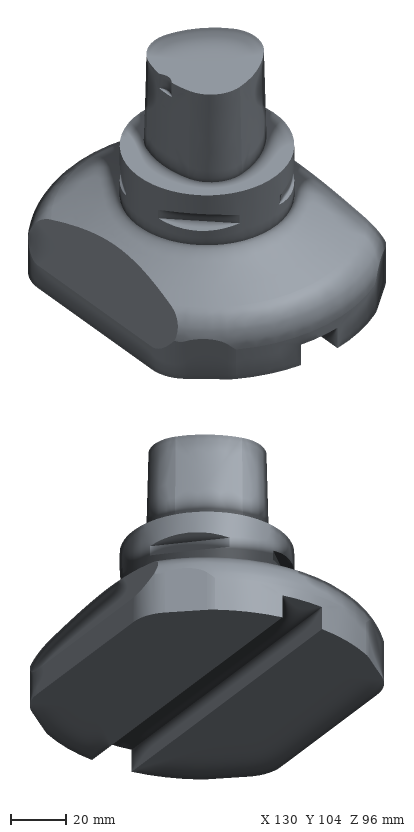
import cadquery as cq
import math

base_radius = 65.0
rim_height = 13.0
shoulder_radius = 14.0
half_width = 52.0
corner_flat_distance = 64.2
corner_flat_angle = 40.0
corner_radius = 16.0
bevel_start = 10.0
bevel_angle = 25.0
key_slot_width = 16.9
key_slot_height = 9.0

flange_radius = 31.5
flange_bottom = 36.0
flange_top = 58.0
groove_height = 46.0
groove_floor_distance = 27.85
groove_floor_width = 3.75
groove_mouth_width = 7.5

total_height = 96.0
lobe_reach = 23.4
side_reach = 20.35
lobe_center_distance = 8.6
shank_inset = 0.95
notch_radius = 5.0
notch_depth = 6.2
notch_reach = 17.9

clearance = 10.0


def polar(distance, degrees):
    angle = math.radians(degrees)
    return (distance * math.cos(angle), distance * math.sin(angle))


def turned_body():
    """Revolve the rim, rounded shoulder, cone and flange."""
    arc_center = base_radius - shoulder_radius

    foot_dr = flange_radius - arc_center
    foot_dz = flange_bottom - rim_height
    foot_direction = math.atan2(foot_dz, foot_dr)
    tangent_turn = math.acos(shoulder_radius / math.hypot(foot_dr, foot_dz))
    cone_normal = math.degrees(foot_direction - tangent_turn)

    def shoulder_point(degrees):
        dr, dz = polar(shoulder_radius, degrees)
        return (arc_center + dr, rim_height + dz)

    return (
        cq.Workplane("XZ")
        .lineTo(base_radius, 0)
        .lineTo(base_radius, rim_height)
        .threePointArc(shoulder_point(cone_normal / 2), shoulder_point(cone_normal))
        .lineTo(flange_radius, flange_bottom)
        .lineTo(flange_radius, flange_top)
        .lineTo(0, flange_top)
        .close()
        .revolve(360, (0, 0, 0), (0, 1, 0))
    )


def base_outline():
    """Extrude the plan outline: round ends, corner flats and long flats."""
    normal = math.radians(corner_flat_angle)
    flat_center_y = half_width - corner_radius
    line_offset = corner_flat_distance - corner_radius
    flat_center_x = (line_offset - flat_center_y * math.sin(normal)) / math.cos(normal)

    end_center_distance = base_radius - corner_radius
    end_angle = corner_flat_angle - math.degrees(math.acos(line_offset / end_center_distance))
    end_center = polar(end_center_distance, end_angle)

    def on_rounding(center, degrees):
        dx, dy = polar(corner_radius, degrees)
        return (center[0] + dx, center[1] + dy)

    flat_center = (flat_center_x, flat_center_y)
    end_tangent = on_rounding(end_center, end_angle)
    quarter = (
        cq.Workplane("XY")
        .lineTo(base_radius, 0)
        .threePointArc(polar(base_radius, end_angle / 2), end_tangent)
        .threePointArc(
            on_rounding(end_center, (end_angle + corner_flat_angle) / 2),
            on_rounding(end_center, corner_flat_angle),
        )
        .lineTo(*on_rounding(flat_center, corner_flat_angle))
        .threePointArc(
            on_rounding(flat_center, (corner_flat_angle + 90) / 2),
            on_rounding(flat_center, 90),
        )
        .lineTo(0, half_width)
        .close()
        .extrude(flange_top)
    )
    half = quarter.union(quarter.mirror("YZ"))
    return half.union(half.mirror("XZ")).clean()


def bevel_cutter():
    """Wedge outside the sloping plane above the long flat on the +Y side."""
    rise = flange_bottom - bevel_start
    run = rise * math.tan(math.radians(bevel_angle))
    outer_y = half_width + clearance
    return (
        cq.Workplane("YZ")
        .moveTo(half_width, bevel_start)
        .lineTo(half_width - run, flange_bottom)
        .lineTo(outer_y, flange_bottom)
        .lineTo(outer_y, bevel_start)
        .close()
        .extrude(base_radius, both=True)
    )


def key_slot():
    """Slot across the underside, running along X."""
    return cq.Workplane("XY").box(
        2 * base_radius + clearance, key_slot_width, key_slot_height, centered=(True, True, False)
    )


def gripper_groove(direction):
    """Straight trapezoid groove cut as a chord into the flange."""
    half_floor = groove_floor_width / 2
    half_mouth = groove_mouth_width / 2
    return (
        cq.Workplane("XZ")
        .moveTo(groove_floor_distance, groove_height - half_floor)
        .lineTo(flange_radius, groove_height - half_mouth)
        .lineTo(flange_radius, groove_height + half_mouth)
        .lineTo(groove_floor_distance, groove_height + half_floor)
        .close()
        .extrude(flange_radius, both=True)
        .rotate((0, 0, 0), (0, 0, 1), direction)
    )


def shank_section(height, inset):
    """Closed wire of six tangent arcs: three lobes and three long sides."""
    difference = lobe_reach - side_reach
    side_center_distance = (
        (2 * difference * lobe_center_distance - difference**2)
        / (lobe_center_distance - 2 * difference)
    )
    lobe_radius = lobe_reach - lobe_center_distance - inset

    center_x = lobe_center_distance + side_center_distance * math.cos(math.radians(60))
    center_y = side_center_distance * math.sin(math.radians(60))
    blend_angle = math.degrees(math.atan2(center_y, center_x))

    def blend_point(lobe_direction, side):
        lobe_x, lobe_y = polar(lobe_center_distance, lobe_direction)
        dx, dy = polar(lobe_radius, lobe_direction + side * blend_angle)
        return (lobe_x + dx, lobe_y + dy)

    section = cq.Workplane("XY", origin=(0, 0, height)).moveTo(*blend_point(90, -1))
    for lobe_direction in (90, 210, 330):
        section = section.threePointArc(
            polar(lobe_reach - inset, lobe_direction), blend_point(lobe_direction, 1)
        ).threePointArc(
            polar(side_reach - inset, lobe_direction + 60), blend_point(lobe_direction + 120, -1)
        )
    return section.close().wire().val()


def shank():
    """Tapered shank with a round notch in the top of the -Y side."""
    body = cq.Solid.makeLoft(
        [shank_section(flange_top, 0), shank_section(total_height, shank_inset)], True
    )
    notch = (
        cq.Workplane("XY", origin=(0, 0, total_height - notch_depth))
        .center(0, -notch_reach - notch_radius)
        .circle(notch_radius)
        .extrude(notch_depth)
    )
    return cq.Workplane(body).cut(notch)


bevel = bevel_cutter()
result = turned_body().intersect(base_outline())
result = result.cut(bevel).cut(bevel.mirror("XZ")).cut(key_slot())
for groove_direction in (45, 135, 225, 315):
    result = result.cut(gripper_groove(groove_direction))
result = result.union(shank())